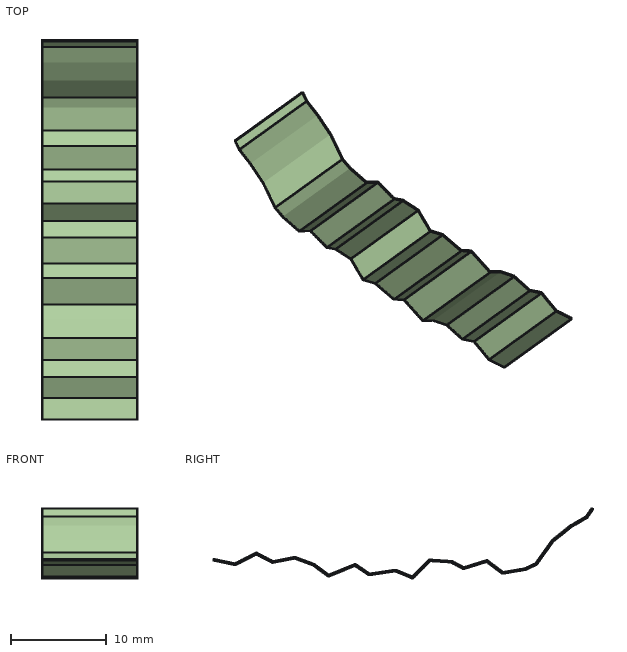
import cadquery as cq
import math

strip_width = 10.0
sheet_thickness = 0.15

fold_line = [
    (19.83, 7.30),
    (19.21, 6.41),
    (17.57, 5.46),
    (15.67, 3.94),
    (13.94, 1.52),
    (12.81, 0.98),
    (10.43, 0.58),
    (8.77, 1.83),
    (6.35, 1.07),
    (5.07, 1.75),
    (2.79, 1.90),
    (0.99, 0.09),
    (-0.79, 0.83),
    (-3.54, 0.42),
    (-5.02, 1.42),
    (-7.80, 0.29),
    (-9.36, 1.44),
    (-11.33, 2.17),
    (-13.64, 1.72),
    (-15.37, 2.61),
    (-17.58, 1.48),
    (-19.83, 1.96),
]


def panel_normal(start, end):
    """Unit normal of a flat panel, on its upper side, for a panel running toward -Y."""
    run = end[0] - start[0]
    rise = end[1] - start[1]
    length = math.hypot(run, rise)
    return rise / length, -run / length


def offset_line(points, distance):
    """Shift an open polyline sideways, with mitred corners at its creases."""
    normals = [panel_normal(start, end) for start, end in zip(points, points[1:])]
    before = normals[:1] + normals
    after = normals + normals[-1:]
    shifted = []
    for (y, z), (ny1, nz1), (ny2, nz2) in zip(points, before, after):
        miter = distance / (1 + ny1 * ny2 + nz1 * nz2)
        shifted.append((y + miter * (ny1 + ny2), z + miter * (nz1 + nz2)))
    return shifted


def folded_strip():
    """Close the upper and lower faces into a section and extrude it along X."""
    upper_side = offset_line(fold_line, sheet_thickness / 2)
    lower_side = offset_line(fold_line, -sheet_thickness / 2)
    section = cq.Workplane("YZ").polyline(upper_side + lower_side[::-1]).close()
    return section.extrude(strip_width / 2, both=True)


result = folded_strip()